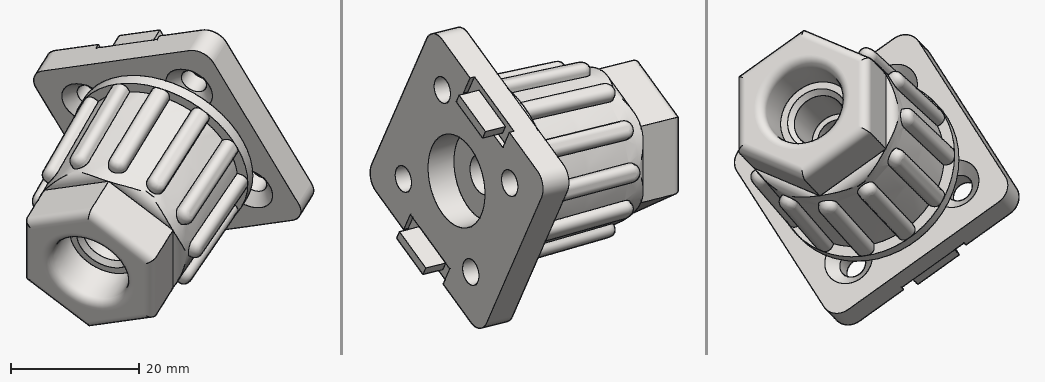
import cadquery as cq
import math


overall_width = 45.6
plate_turn = 30.0
plate_corner_radius = 3.0
plate_thickness = 5.0
turn_rad = math.radians(plate_turn)
corner_spacing = (overall_width - 2 * plate_corner_radius) / (math.cos(turn_rad) + math.sin(turn_rad))
plate_side = corner_spacing + 2 * plate_corner_radius

screw_spacing = 20.52
screw_hole_diameter = 4.3
countersink_diameter = 7.95
countersink_angle = 90.0

key_length = 8.05
key_width = 1.5
key_height = 3.0
key_offset = 15.75
pocket_length = 12.0
pocket_width = 3.5
pocket_depth = 0.85

spigot_diameter = 20.0
spigot_length = 15.0
spigot_bore = 16.5
plate_bore = 15.0

nut_gap = 0.7
nut_length = 29.95
collar_diameter = 29.85
collar_length = 1.9
body_back_diameter = 26.35
body_front_diameter = 25.25
hex_across_flats = 22.0
hex_length = 8.0
hex_edge_radius = 1.5
mouth_diameter = 13.0
mouth_inner_diameter = 12.35
mouth_depth = 7.0
mouth_radius = 1.45

nut_back = -nut_gap
nut_front = nut_back - nut_length
collar_front = nut_back - collar_length
hex_back = nut_front + hex_length
shoulder_radius = (body_front_diameter - hex_across_flats) / 2
shoulder_back = hex_back + shoulder_radius
mouth_floor = nut_front + mouth_depth
edge_clearance = 0.005

rib_count = 12
rib_width = 3.0
rib_edge_radius = 1.15
rib_tilt = 1.7
rib_top_radius = 14.85
rib_tip = -20.55
rib_root_radius = 11.4

ring_diameter = 18.0
ring_bore = 8.4
ring_chamfer = 0.8
seal_bore = 6.5


def disc(diameter, y_start, y_end, end_diameter=None):
    """Solid cylinder or cone on the Y axis between two Y positions."""
    r_start = diameter / 2
    r_end = r_start if end_diameter is None else end_diameter / 2
    outline = [(0, y_start), (r_start, y_start), (r_end, y_end), (0, y_end)]
    return cq.Workplane("XY").polyline(outline).close().revolve(360, (0, 0, 0), (0, 1, 0))


def block(x_size, z_size, y_start, y_end, z_centre=0.0):
    """Upright box centred on X = 0 between two Y positions."""
    box = cq.Workplane("XY").box(x_size, y_end - y_start, z_size)
    return box.translate((0, (y_start + y_end) / 2, z_centre))


def hex_prism(across_flats, y_start, y_end):
    """Hexagonal prism on the Y axis with corners on +Z and -Z."""
    plane = cq.Workplane("XZ", origin=(0, y_end, 0))
    corner_diameter = across_flats / math.cos(math.pi / 6)
    prism = plane.polygon(6, corner_diameter).extrude(y_end - y_start)
    return prism.rotate((0, 0, 0), (0, 1, 0), 30)


def turn(shape, degrees):
    """Rotate about the axis, counter-clockwise when looking toward +Y."""
    return shape.rotate((0, 0, 0), (0, 1, 0), -degrees)


def make_flange():
    plate = block(plate_side, plate_side, 0, plate_thickness)
    plate = plate.edges("|Y").fillet(plate_corner_radius)
    plate = (
        plate.faces("<Y").workplane(origin=(0, 0, 0))
        .rect(screw_spacing, screw_spacing, forConstruction=True).vertices()
        .cskHole(screw_hole_diameter, countersink_diameter, countersink_angle)
    )
    pocket_floor = plate_thickness - pocket_depth
    key_end = plate_thickness + key_height
    pocket_offset = (plate_side - pocket_width) / 2
    for side in (1, -1):
        plate = plate.cut(
            block(pocket_length, pocket_width, pocket_floor, plate_thickness, side * pocket_offset)
        )
        plate = plate.union(block(key_length, key_width, pocket_floor, key_end, side * key_offset))
    flange = turn(plate, plate_turn).union(disc(spigot_diameter, -spigot_length, 0))
    flange = flange.cut(disc(spigot_bore, -spigot_length, 0))
    return flange.cut(disc(plate_bore, 0, plate_thickness))


def make_rib():
    """Rib on the +Z side: round front end, rounded top edges, leaning with the body."""
    half_width = rib_width / 2
    rear = collar_front + collar_length / 2
    arc_start = rib_tip + half_width
    rib = (
        cq.Workplane("XY", origin=(0, 0, rib_root_radius))
        .moveTo(-half_width, rear)
        .lineTo(-half_width, arc_start)
        .threePointArc((0, rib_tip), (half_width, arc_start))
        .lineTo(half_width, rear)
        .close()
        .extrude(rib_top_radius - rib_root_radius)
    )
    rib = rib.faces(">Z").edges("not >Y").fillet(rib_edge_radius)
    return rib.rotate((0, collar_front, rib_top_radius), (1, collar_front, rib_top_radius), rib_tilt)


def make_nut():
    collar = disc(collar_diameter, collar_front, nut_back)
    body = disc(body_front_diameter, shoulder_back, collar_front, body_back_diameter)

    shoulder_hex = hex_prism(body_front_diameter, hex_back, shoulder_back)
    shoulder_hex = shoulder_hex.faces("<Y").edges().fillet(shoulder_radius - edge_clearance)
    shoulder = disc(body_front_diameter, hex_back, shoulder_back).intersect(shoulder_hex)

    hexagon = hex_prism(hex_across_flats, nut_front, hex_back)
    hexagon = hexagon.faces("<Y").edges().fillet(hex_edge_radius)

    nut = collar.union(body).union(shoulder).union(hexagon)
    rib = make_rib()
    for i in range(rib_count):
        nut = nut.union(turn(rib, i * 360 / rib_count))

    nut = nut.cut(disc(mouth_diameter, nut_front, mouth_floor, mouth_inner_diameter))
    mouth_edge = cq.selectors.RadiusNthSelector(0)
    nut = nut.faces("<Y").edges(mouth_edge).fillet(mouth_radius)
    nut = nut.cut(disc(ring_diameter, mouth_floor, -spigot_length))
    return nut.cut(disc(spigot_diameter, -spigot_length, nut_back))


def make_clamp_ring():
    chamfer_end = mouth_floor + ring_chamfer
    ring = disc(ring_diameter, mouth_floor, -spigot_length)
    ring = ring.cut(disc(ring_bore + 2 * ring_chamfer, mouth_floor, chamfer_end, ring_bore))
    return ring.cut(disc(ring_bore, chamfer_end, -spigot_length))


def make_seal():
    return disc(spigot_bore, -spigot_length, 0).cut(disc(seal_bore, -spigot_length, 0))


flange = make_flange()
nut = make_nut()
clamp_ring = make_clamp_ring()
seal = make_seal()

result = cq.Compound.makeCompound([flange.val(), nut.val(), clamp_ring.val(), seal.val()])